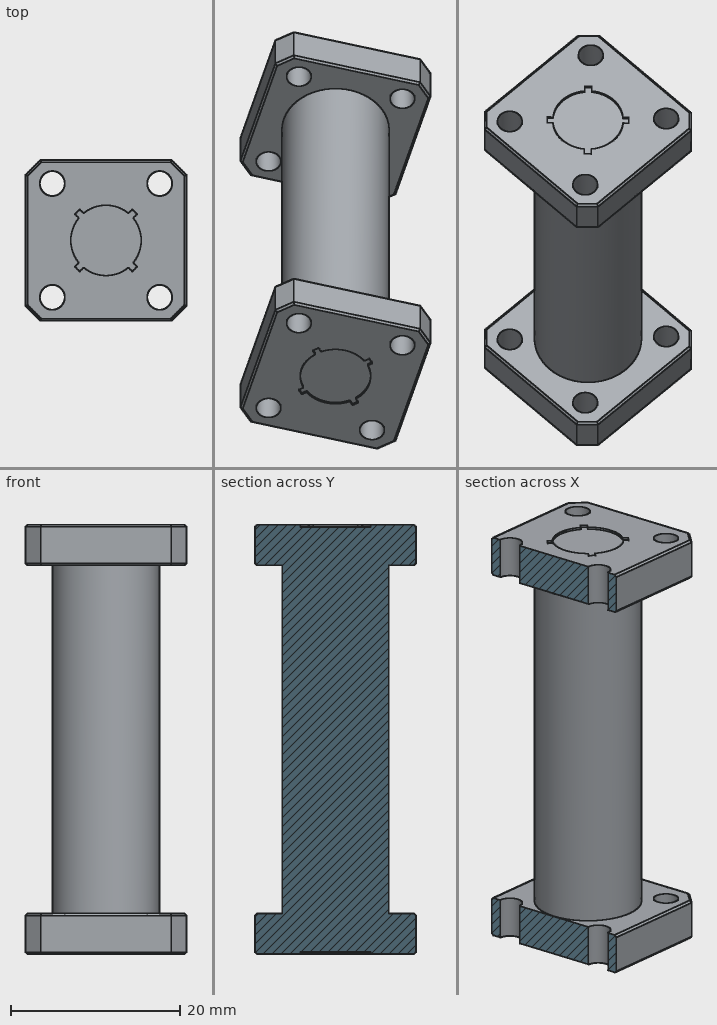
import cadquery as cq

flange_width = 19.05
total_length = 50.8

flange_thickness = 4.826
corner_chamfer = 1.778
edge_chamfer = 0.254

tube_diameter = 12.7

bolt_hole_diameter = 2.92
bolt_spacing_x = 12.7
bolt_spacing_y = 13.46

recess_diameter = 8.33
recess_depth = 0.254
notch_reach = 4.8
notch_width = 0.8
notch_angles = (45, 135)


def make_flange(base_z):
    """Square plate with cut corners and bevelled rims, its underside at base_z."""
    plate = (
        cq.Workplane("XY")
        .workplane(offset=base_z)
        .rect(flange_width, flange_width)
        .extrude(flange_thickness)
    )
    plate = plate.edges("|Z").chamfer(corner_chamfer)
    return plate.faces("<Z or >Z").edges().chamfer(edge_chamfer)


def make_tube():
    """Solid cylinder running the full length of the part."""
    return cq.Workplane("XY").circle(tube_diameter / 2).extrude(total_length)


def make_bolt_holes():
    """Four cutters that pass through both flanges."""
    return (
        cq.Workplane("XY")
        .rect(bolt_spacing_x, bolt_spacing_y, forConstruction=True)
        .vertices()
        .circle(bolt_hole_diameter / 2)
        .extrude(total_length)
    )


def make_recess(base_z):
    """Notched disc cutter, its underside at base_z."""
    plane = cq.Workplane("XY").workplane(offset=base_z)
    recess = plane.circle(recess_diameter / 2).extrude(recess_depth)
    for angle in notch_angles:
        bar = plane.rect(2 * notch_reach, notch_width).extrude(recess_depth)
        recess = recess.union(bar.rotate((0, 0, 0), (0, 0, 1), angle))
    return recess


body = make_tube()
for flange_base in (0, total_length - flange_thickness):
    body = body.union(make_flange(flange_base))

body = body.cut(make_bolt_holes())
for recess_base in (0, total_length - recess_depth):
    body = body.cut(make_recess(recess_base))

result = body.translate((0, 0, -total_length / 2))